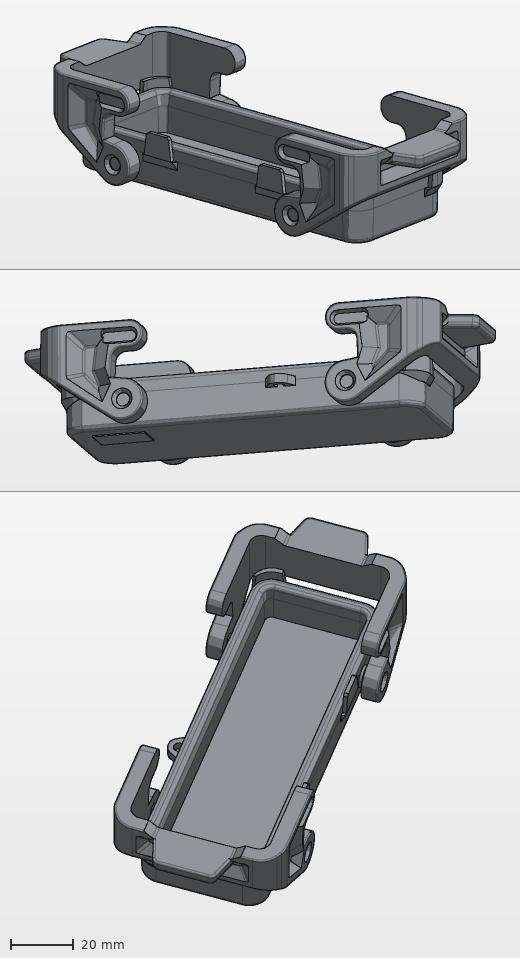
import cadquery as cq
import math

rim_length = 120.0
rim_width = 43.2
rim_height = 16.5
rim_corner_radius = 7.0
rim_round = 1.4
rim_land = 1.1
belt_height = 11.4
wall_draft = 1.0
base_round = 1.7
floor_length = 110.3
floor_height = 2.5
mouth_round = 1.5
well_length = rim_length - 2 * (rim_round + rim_land + mouth_round)
well_width = rim_width - 2 * (rim_round + rim_land + mouth_round)
well_corner_radius = 3.0
well_step_inset = 0.6

pad_length = 17.5
pad_width = 10.4
pad_thickness = 0.4
pad_x = 42.8
pad_y = 9.8

overall_height = 34.0
lever_top = overall_height - pad_thickness
lever_width = 58.07
lever_end_x = -66.8
lever_bar_thickness = 4.9
lever_arm_thickness = 5.5
bend_flat_angle = math.radians(61)
bend_flat_length = 1.9
bend_bar_radius = 7.9
bend_arm_radius = 6.2
lever_edge_round = 0.5
lever_inner_bend_radius = 4.0
arm_outer_y = lever_width / 2
arm_inner_y = arm_outer_y - lever_arm_thickness
bar_bottom = 19.6
pivot_x = -37.4
pivot_z = 7.6
eye_radius = 6.9
nose_radius = 4.5
nose_x = -35.1
nose_z = lever_top - nose_radius
throat_x = -41.1
throat_radius = 3.5
throat_foot_x = -41.4
throat_foot_z = 15.1

grip_end_x = -76.0
grip_top = 31.3
grip_bottom = 27.0
grip_root_half_width = 13.2
grip_tip_half_width = 10.3
grip_corner_radius = 2.5
grip_top_round = 0.8
grip_bottom_round = 1.7
notch_top_half_width = 16.4
notch_round = 1.5

bar_pocket_width = 38.0
bar_pocket_bottom = 21.8
bar_pocket_top = 30.4
bar_pocket_depth = 3.2
bar_pocket_corner_radius = 1.3
bar_pocket_taper = 45.0

arm_pocket_depth = 3.0
arm_pocket_outline = [(-56.0, 31.2), (-41.3, 31.2), (-43.0, 18.3),
                      (-41.2, 12.7), (-44.0, 7.0), (-56.0, 15.8)]
arm_pocket_floor = [(-51.0, 26.4), (-46.8, 26.4), (-47.8, 18.3),
                    (-45.6, 13.2), (-46.2, 12.0), (-51.0, 17.4)]
arm_pocket_corner_round = 2.6
arm_pocket_floor_round = 1.5
nose_slot_width = 5.1
nose_slot_depth = 1.5
nose_slot_taper = 30.0
nose_slot_end_x = -34.8
nose_slot_z = 28.6
nose_slot_start_x = -43.0

pin_radius = 2.5
pin_collar_radius = 3.7
pin_collar_end_y = 22.6
eye_bore_radius = 2.2
eye_bore_depth = 1.5
eye_bore_chamfer = 1.2
eye_bore_flare_taper = 45.0

front_clip_x = 23.6
clip_top = 19.3
clip_bottom = 8.5
clip_thickness = 1.4
clip_top_half_width = 4.6
clip_base_half_width = 5.6
clip_ledge_half_width = 7.2
clip_ledge_tip_half_width = 6.2
clip_corner_chamfer = 0.8
clip_embed = 1.0

corner_clip_thickness_x = 1.6
corner_clip_thickness_y = 0.4
corner_clip_x = 55.2
corner_clip_y = 12.2
corner_ledge_x = 51.7
corner_ledge_y = 10.6

lug_x = -13.4
lug_y = 22.9
lug_radius = 3.6
lug_hole_radius = 1.7
lug_base_half_width = 5.0
lug_top = 12.4
lug_thickness = 3.0
lug_tangent_angle = math.radians(25)


def with_mirror(shape, plane):
    return shape.union(shape.mirror(plane))


def rounded_block(length, width, radius, bottom, height, taper=0.0):
    outline = cq.Workplane("XY").workplane(offset=bottom).sketch()
    outline = outline.rect(length, width).vertices().fillet(radius).finalize()
    return outline.extrude(height, taper=taper)


def tray_well():
    """Cavity with a leaning upper wall and a steeper lower wall."""
    upper_depth = rim_height - belt_height
    upper_draft = math.degrees(math.atan(well_step_inset / upper_depth))
    upper = rounded_block(well_length, well_width, well_corner_radius,
                          rim_height, -upper_depth, upper_draft)
    step_length = well_length - 2 * well_step_inset
    step_width = well_width - 2 * well_step_inset
    lower_depth = belt_height - floor_height
    lower_draft = math.degrees(math.atan((step_length - floor_length) / 2 / lower_depth))
    lower = rounded_block(step_length, step_width, well_corner_radius - well_step_inset,
                          belt_height, -lower_depth, lower_draft)
    return upper.union(lower)


def tray_shell():
    band = rounded_block(rim_length, rim_width, rim_corner_radius,
                         belt_height, rim_height - belt_height)
    wall = rounded_block(rim_length, rim_width, rim_corner_radius,
                         belt_height, -belt_height, wall_draft)
    wall = wall.faces("<Z").edges().fillet(base_round)
    half_length = well_length / 2 + rim_land
    half_width = well_width / 2 + rim_land
    mouth_edges = cq.selectors.BoxSelector(
        (-half_length, -half_width, belt_height),
        (half_length, half_width, rim_height + rim_land))
    band = band.faces(">Z").edges().fillet(rim_round)
    shell = band.union(wall).cut(tray_well())
    return shell.faces(">Z").edges(mouth_edges).fillet(mouth_round)


def foot_pad():
    return (
        cq.Workplane("XY", origin=(pad_x, pad_y, -pad_thickness))
        .rect(pad_length, pad_width)
        .extrude(pad_thickness)
    )


def front_clip(x):
    wall_y = -rim_width / 2
    panel = (
        cq.Workplane("XZ", origin=(x, wall_y, 0))
        .moveTo(-clip_base_half_width, belt_height)
        .lineTo(clip_base_half_width, belt_height)
        .lineTo(clip_top_half_width, clip_top)
        .lineTo(-clip_top_half_width, clip_top)
        .close()
        .extrude(clip_thickness)
        .edges("|Y and >Z")
        .chamfer(clip_corner_chamfer)
    )
    ledge = (
        cq.Workplane("XY", origin=(x, wall_y, clip_bottom))
        .moveTo(-clip_ledge_half_width, clip_embed)
        .lineTo(-clip_ledge_half_width, 0)
        .lineTo(-clip_ledge_tip_half_width, -clip_thickness)
        .lineTo(clip_ledge_tip_half_width, -clip_thickness)
        .lineTo(clip_ledge_half_width, 0)
        .lineTo(clip_ledge_half_width, clip_embed)
        .close()
        .extrude(belt_height - clip_bottom)
    )
    undercut = (
        cq.Workplane("YZ", origin=(x, wall_y, 0))
        .moveTo(0, clip_bottom)
        .lineTo(-clip_thickness, belt_height)
        .lineTo(-clip_thickness, clip_bottom)
        .close()
        .extrude(clip_ledge_half_width, both=True)
    )
    return panel.union(ledge.cut(undercut))


def corner_quadrant(near_x, near_y, bottom, height, taper=0.0):
    """Block over the +X +Y corner of the tray, its sides leaning in by the taper angle going up."""
    reach = 40.0
    return (
        cq.Workplane("XY", origin=(near_x + reach / 2, near_y + reach / 2, bottom))
        .rect(reach, reach)
        .extrude(height, taper=taper)
    )


def corner_clip():
    """Clip wrapped around the +X +Y corner of the tray."""
    length = rim_length + 2 * corner_clip_thickness_x
    width = rim_width + 2 * corner_clip_thickness_y
    panel_height = clip_top - belt_height
    ledge_height = belt_height - clip_bottom
    side_lean = math.degrees(math.atan((clip_base_half_width - clip_top_half_width) / panel_height))
    ledge_lean = math.degrees(math.atan(corner_clip_thickness_x / ledge_height))

    panel = rounded_block(length, width, rim_corner_radius, belt_height, panel_height)
    panel = panel.intersect(
        corner_quadrant(corner_clip_x, corner_clip_y, belt_height, panel_height, side_lean))
    ledge = rounded_block(length, width, rim_corner_radius, belt_height, -ledge_height, ledge_lean)
    ledge = ledge.intersect(
        corner_quadrant(corner_ledge_x, corner_ledge_y, clip_bottom, ledge_height))
    tray_body = rounded_block(rim_length, rim_width, rim_corner_radius, belt_height, panel_height)
    core_length = rim_length - 2 * rim_round
    core_width = rim_width - 2 * rim_round
    tray_core = rounded_block(core_length, core_width, rim_corner_radius - rim_round,
                              clip_bottom, ledge_height)
    return panel.cut(tray_body).union(ledge.cut(tray_core))


def hanging_lug():
    wall_y = rim_width / 2 - rim_round
    flank_x = lug_radius * math.cos(lug_tangent_angle)
    flank_y = lug_y + lug_radius * math.sin(lug_tangent_angle)
    return (
        cq.Workplane("XY", origin=(lug_x, 0, lug_top - lug_thickness))
        .moveTo(-lug_base_half_width, wall_y)
        .lineTo(-lug_base_half_width, rim_width / 2)
        .lineTo(-flank_x, flank_y)
        .threePointArc((0, lug_y + lug_radius), (flank_x, flank_y))
        .lineTo(lug_base_half_width, rim_width / 2)
        .lineTo(lug_base_half_width, wall_y)
        .close()
        .moveTo(0, lug_y)
        .circle(lug_hole_radius)
        .extrude(lug_thickness)
    )


def lever_side_profile():
    """Side silhouette of a lever arm, swept across the full lever width."""
    to_corner_x = lever_end_x - pivot_x
    to_corner_z = bar_bottom - pivot_z
    corner_angle = math.atan2(to_corner_z, to_corner_x)
    tangent_angle = corner_angle + math.acos(eye_radius / math.hypot(to_corner_x, to_corner_z))

    def eye_point(angle):
        return (pivot_x + eye_radius * math.cos(angle), pivot_z + eye_radius * math.sin(angle))

    nose_bottom_z = nose_z - nose_radius
    bevel = throat_radius * (1 - math.sqrt(0.5))
    return (
        cq.Workplane("XZ")
        .moveTo(lever_end_x, lever_top)
        .lineTo(nose_x, lever_top)
        .threePointArc((nose_x + nose_radius, nose_z), (nose_x, nose_bottom_z))
        .lineTo(throat_x + throat_radius, nose_bottom_z)
        .threePointArc((throat_x + bevel, nose_bottom_z - bevel),
                       (throat_x, nose_bottom_z - throat_radius))
        .lineTo(throat_foot_x, throat_foot_z)
        .lineTo(*eye_point(math.pi / 2))
        .threePointArc(eye_point(0), eye_point(tangent_angle))
        .lineTo(lever_end_x, bar_bottom)
        .close()
        .extrude(lever_width / 2, both=True)
    )


def lever_bow():
    """U-shaped bow in plan, trimmed to the side silhouette, its outer edges rounded."""
    arm_end_x = 0.0
    flat_run_x = bend_flat_length * math.sin(bend_flat_angle)
    flat_run_y = bend_flat_length * math.cos(bend_flat_angle)
    half_angle = bend_flat_angle / 2
    arm_half_angle = (bend_flat_angle + math.pi / 2) / 2
    bar_center_x = lever_end_x + bend_bar_radius
    flat_start_x = bar_center_x - bend_bar_radius * math.cos(bend_flat_angle)
    flat_end_x = flat_start_x + flat_run_x
    arm_center_x = flat_end_x + bend_arm_radius * math.cos(bend_flat_angle)
    arm_center_y = arm_outer_y - bend_arm_radius
    flat_end_y = arm_center_y + bend_arm_radius * math.sin(bend_flat_angle)
    flat_start_y = flat_end_y - flat_run_y
    bar_center_y = flat_start_y - bend_bar_radius * math.sin(bend_flat_angle)
    half_outer = (
        cq.Workplane("XY")
        .moveTo(lever_end_x, 0)
        .lineTo(lever_end_x, bar_center_y)
        .threePointArc((bar_center_x - bend_bar_radius * math.cos(half_angle),
                        bar_center_y + bend_bar_radius * math.sin(half_angle)),
                       (flat_start_x, flat_start_y))
        .lineTo(flat_end_x, flat_end_y)
        .threePointArc((arm_center_x - bend_arm_radius * math.cos(arm_half_angle),
                        arm_center_y + bend_arm_radius * math.sin(arm_half_angle)),
                       (arm_center_x, arm_outer_y))
        .lineTo(arm_end_x, arm_outer_y)
        .lineTo(arm_end_x, 0)
        .close()
        .extrude(lever_top)
    )
    outer = with_mirror(half_outer, "XZ").clean()
    inner_reach = arm_end_x - lever_end_x - lever_bar_thickness
    inner = (
        cq.Workplane("XY", origin=(arm_end_x - inner_reach / 2, 0, 0))
        .rect(inner_reach, 2 * arm_inner_y)
        .extrude(lever_top)
        .edges("|Z and <X")
        .fillet(lever_inner_bend_radius)
    )
    bow = lever_side_profile().intersect(outer).cut(inner)
    return bow.faces("<X or <Y or >Y").edges("not |Z").fillet(lever_edge_round)


def bar_notch():
    return (
        cq.Workplane("YZ", origin=(lever_end_x, 0, 0))
        .moveTo(-grip_root_half_width, grip_top)
        .lineTo(grip_root_half_width, grip_top)
        .lineTo(notch_top_half_width, lever_top)
        .lineTo(-notch_top_half_width, lever_top)
        .close()
        .extrude(lever_bar_thickness)
        .edges("|X and <Z")
        .fillet(notch_round)
    )


def bar_pocket():
    return (
        cq.Workplane("YZ", origin=(lever_end_x, 0, (bar_pocket_top + bar_pocket_bottom) / 2))
        .rect(bar_pocket_width, bar_pocket_top - bar_pocket_bottom)
        .extrude(bar_pocket_depth, taper=bar_pocket_taper)
        .edges("not(|Y or |Z)")
        .fillet(bar_pocket_corner_radius)
    )


def grip_tab():
    inner_x = lever_end_x + lever_bar_thickness
    return (
        cq.Workplane("XY", origin=(0, 0, grip_bottom))
        .moveTo(inner_x, grip_root_half_width)
        .lineTo(lever_end_x, grip_root_half_width)
        .lineTo(grip_end_x, grip_tip_half_width)
        .lineTo(grip_end_x, -grip_tip_half_width)
        .lineTo(lever_end_x, -grip_root_half_width)
        .lineTo(inner_x, -grip_root_half_width)
        .close()
        .extrude(grip_top - grip_bottom)
        .edges("|Z and <X")
        .fillet(grip_corner_radius)
        .edges("<X and >Z")
        .fillet(grip_top_round)
        .edges("<X and <Z")
        .fillet(grip_bottom_round)
    )


def arm_pocket():
    """Sloping-sided pocket and nose slot in the -Y face of the arm."""
    face = cq.Workplane("XZ", origin=(0, -arm_outer_y, 0))
    well = (
        face.polyline(arm_pocket_outline).close()
        .workplane(offset=-arm_pocket_depth)
        .polyline(arm_pocket_floor).close()
        .loft(ruled=True)
        .edges("not #Y")
        .edges("<X")
        .fillet(arm_pocket_corner_round)
        .faces(">Y")
        .edges()
        .fillet(arm_pocket_floor_round)
    )
    slot_length = nose_slot_end_x - nose_slot_start_x
    slot = (
        face.center(nose_slot_start_x + slot_length / 2, nose_slot_z)
        .slot2D(slot_length + nose_slot_width, nose_slot_width)
        .extrude(-nose_slot_depth, taper=nose_slot_taper)
    )
    return well.union(slot)


def pivot_pin():
    """Collared pin joining the -Y wall of the tray to the lever arm."""
    wall_y = rim_width / 2 - rim_round
    base = cq.Workplane("XZ", origin=(pivot_x, -wall_y, pivot_z))
    pin = base.circle(pin_radius).extrude(arm_outer_y - eye_bore_depth - wall_y)
    collar = base.circle(pin_collar_radius).extrude(pin_collar_end_y - wall_y)
    return pin.union(collar)


def eye_bore():
    face = cq.Workplane("XZ", origin=(pivot_x, -arm_outer_y, pivot_z))
    bore = face.circle(eye_bore_radius).extrude(-eye_bore_depth)
    flare = face.circle(eye_bore_radius + eye_bore_chamfer)
    flare = flare.extrude(-eye_bore_chamfer, taper=eye_bore_flare_taper)
    return bore.union(flare)


def lever():
    body = lever_bow().cut(bar_notch()).cut(bar_pocket()).union(grip_tab())
    body = body.cut(with_mirror(arm_pocket(), "XZ"))
    body = body.union(with_mirror(pivot_pin(), "XZ"))
    return body.cut(with_mirror(eye_bore(), "XZ"))


tray = tray_shell().union(foot_pad()).union(hanging_lug())
for clip_x in (-front_clip_x, front_clip_x):
    tray = tray.union(front_clip(clip_x))
tray = tray.union(with_mirror(corner_clip(), "YZ"))
result = tray.union(with_mirror(lever(), "YZ"))